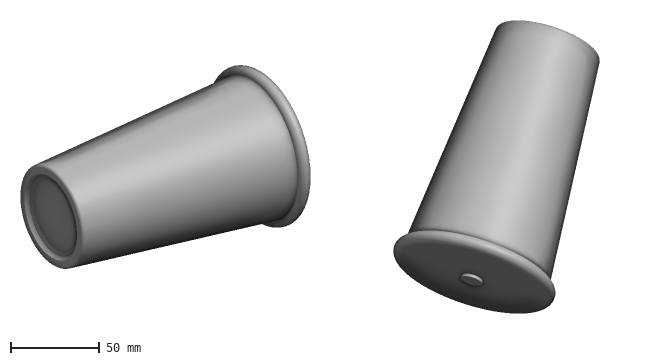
import cadquery as cq
import math

total_length = 150.4

lid_diameter = 95.6
bead_radius = 3.9
knob_diameter = 12.3
knob_height = 1.8
knob_fillet = 0.3

cup_top_diameter = 87.0
cup_base_diameter = 61.6
lid_overlap = 5.1

bead_center_radius = lid_diameter / 2 - bead_radius
lid_face_radius = cup_top_diameter / 2
lid_half_thickness = math.sqrt(bead_radius**2 - (bead_center_radius - lid_face_radius) ** 2)
lid_top = total_length - knob_height
lid_middle = lid_top - lid_half_thickness
lid_bottom = lid_middle - lid_half_thickness
cup_length = lid_bottom + lid_overlap
base_fillet = 2.0

recess_mouth_diameter = 51.3
recess_depth = 2.3
plug_diameter = 47.8
plug_thickness = 2.3

dish_floor_diameter = 42.5
dish_rim_diameter = 47.2
dish_depth = 0.9


def disc(diameter, thickness, start_y):
    """Cylinder that grows toward +Y from start_y."""
    return (
        cq.Workplane("XZ", origin=(0, start_y, 0))
        .circle(diameter / 2)
        .extrude(-thickness)
    )


def cone(start_diameter, end_diameter, length, start_y):
    """Truncated cone that grows toward +Y from start_y."""
    solid = cq.Solid.makeCone(
        start_diameter / 2,
        end_diameter / 2,
        length,
        cq.Vector(0, start_y, 0),
        cq.Vector(0, 1, 0),
    )
    return cq.Workplane(obj=solid)


def make_cup():
    body = cone(cup_base_diameter, cup_top_diameter, cup_length, 0)
    body = body.faces("<Y").edges().fillet(base_fillet)
    recess = cone(recess_mouth_diameter, plug_diameter, recess_depth, 0)
    plug_seat = disc(plug_diameter, plug_thickness, recess_depth)
    return body.cut(recess).cut(plug_seat)


def make_base_plug():
    plate = disc(plug_diameter, plug_thickness, recess_depth)
    dish = cone(dish_rim_diameter, dish_floor_diameter, dish_depth, recess_depth)
    return plate.cut(dish)


def make_lid():
    plate = (
        cq.Workplane("XY")
        .moveTo(0, lid_bottom)
        .lineTo(lid_face_radius, lid_bottom)
        .threePointArc((lid_diameter / 2, lid_middle), (lid_face_radius, lid_top))
        .lineTo(0, lid_top)
        .close()
        .revolve(360, (0, 0, 0), (0, 1, 0))
    )
    cup_recess = disc(cup_top_diameter, lid_overlap, lid_bottom)
    knob = disc(knob_diameter, knob_height, lid_top)
    knob = knob.faces(">Y").edges().fillet(knob_fillet)
    return plate.cut(cup_recess).union(knob)


cup = make_cup()
base_plug = make_base_plug()
lid = make_lid()

result = cq.Compound.makeCompound([cup.val(), base_plug.val(), lid.val()])